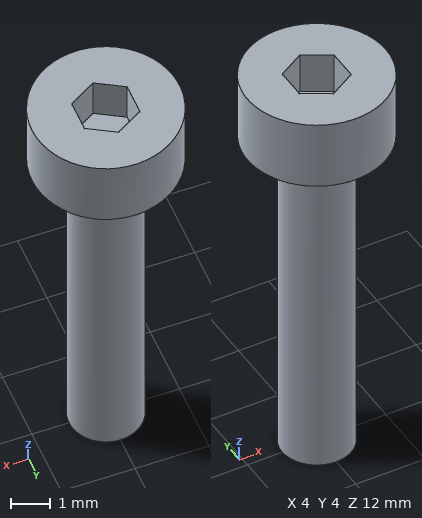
import cadquery as cq
import math

total_length = 12.0
head_diameter = total_length / 3
shank_diameter = head_diameter / 2
head_height = shank_diameter
shank_length = total_length - head_height

socket_across_flats = 1.5
socket_across_corners = socket_across_flats / math.cos(math.pi / 6)
socket_depth = 1.2
corner_turn = 90

head = cq.Workplane("XY").circle(head_diameter / 2).extrude(head_height)
shank = cq.Workplane("XY").circle(shank_diameter / 2).extrude(-shank_length)
socket = (
    cq.Workplane("XY")
    .workplane(offset=head_height)
    .transformed(rotate=(0, 0, corner_turn))
    .polygon(6, socket_across_corners)
    .extrude(-socket_depth)
)

result = head.union(shank).cut(socket)